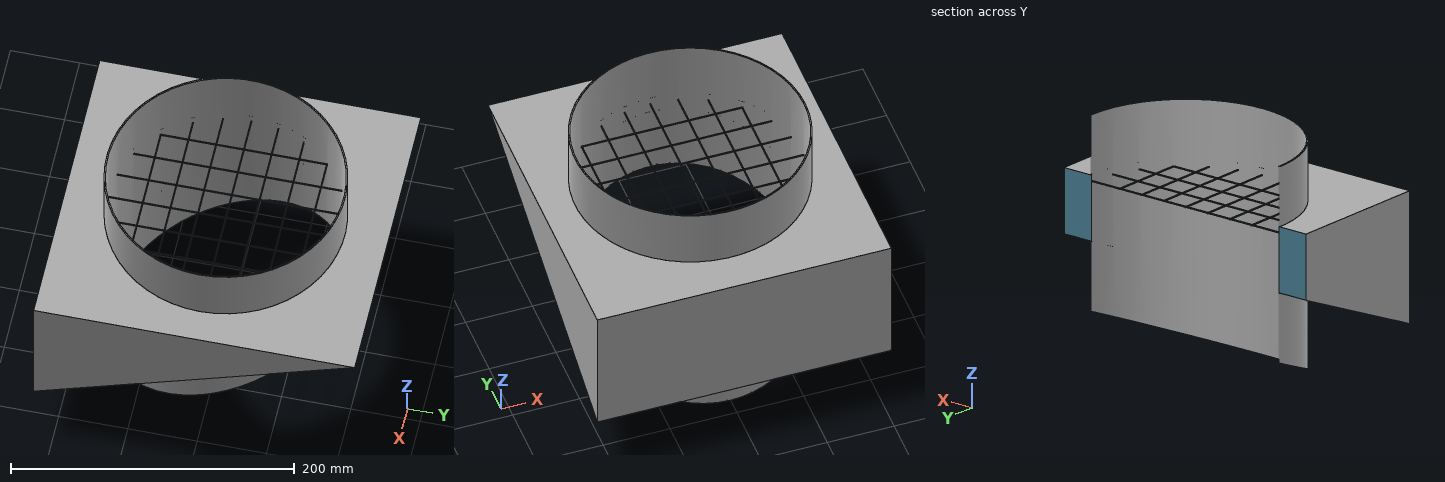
import cadquery as cq

wedge_width = 220.0
wedge_length = 232.0
wedge_height = 100.0
axis_to_front = 115.0

duct_outer_diameter = 172.0
duct_wall = 1.0
duct_above = 45.0
duct_lowest = 140.0

wire_size = 0.6
wire_pitch = 20.0
wires_each_side = 3
grille_depth = 5.0

duct_outer_radius = duct_outer_diameter / 2
duct_inner_radius = duct_outer_radius - duct_wall
duct_length = duct_above + duct_lowest
wedge_front = -axis_to_front
wedge_back = wedge_front + wedge_length
slope = wedge_height / wedge_length
duct_highest_end = duct_lowest - slope * duct_outer_diameter


def vertical_cylinder(radius):
    """Cylinder on the duct axis spanning the full height of the duct."""
    base = cq.Workplane("XY").workplane(offset=-duct_lowest)
    return base.circle(radius).extrude(duct_length)


def make_wedge():
    """Triangular block, flat on top and sloping underneath."""
    profile = cq.Workplane("YZ").polyline([
        (wedge_front, 0),
        (wedge_back, 0),
        (wedge_front, -wedge_height),
    ]).close()
    return profile.extrude(wedge_width / 2, both=True)


def make_duct_envelope():
    """Solid duct, cut off below by a plane parallel to the underside of the wedge."""
    side_profile = cq.Workplane("YZ").polyline([
        (-duct_outer_radius, duct_above),
        (duct_outer_radius, duct_above),
        (duct_outer_radius, -duct_highest_end),
        (-duct_outer_radius, -duct_lowest),
    ]).close()
    prism = side_profile.extrude(duct_outer_diameter, both=True)
    return vertical_cylinder(duct_outer_radius).intersect(prism)


def make_grille():
    """Square mesh of wires, trimmed to end inside the duct wall."""
    wire_length = duct_outer_diameter
    along_x = cq.Workplane("XY").box(wire_length, wire_size, wire_size)
    along_y = cq.Workplane("XY").box(wire_size, wire_length, wire_size)
    wires = cq.Workplane("XY")
    for index in range(-wires_each_side, wires_each_side + 1):
        position = index * wire_pitch
        wires = wires.union(along_x.translate((0, position, -grille_depth)))
        wires = wires.union(along_y.translate((position, 0, -grille_depth)))
    return wires.intersect(vertical_cylinder(duct_inner_radius + duct_wall / 2))


body = make_wedge().union(make_duct_envelope())
body = body.cut(vertical_cylinder(duct_inner_radius))
result = body.union(make_grille())